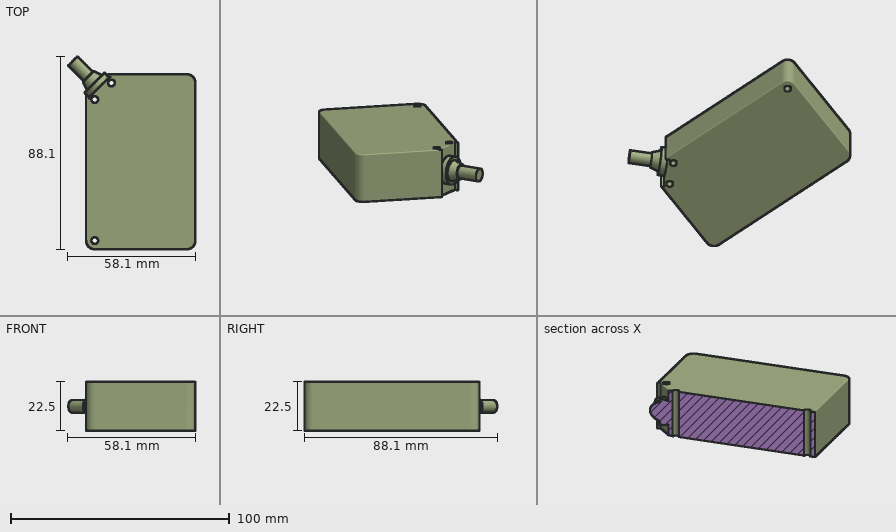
import cadquery as cq

width = 50.0
length = 80.0
height = 22.5
corner_radius = 4.0
edge_radius = 0.5

recess_width = 13.0
floor_inset = 6.0

hole_diameter = 3.0
hole_inset = 4.0
recess_hole_inset = 11.6

flange_diameter = recess_width
flange_length = 3.0
cone_length = 4.0
cone_base_diameter = 9.8
cone_tip_diameter = 7.0
cable_diameter = 6.0
cable_length = 10.0

corner_x = -width / 2
corner_y = length / 2

floor_centre = (corner_x + floor_inset, corner_y - floor_inset, 0)


def housing():
    block = cq.Workplane("XY").box(width, length, height)
    block = block.edges("|Z and (>X or <Y)").fillet(corner_radius)
    block = block.cut(corner_recess())
    recess_tips = block.edges("|Z").edges(">(-1, 1, 0)")
    block = recess_tips.fillet(edge_radius)
    return block.faces("<Z or >Z").edges().fillet(edge_radius)


def corner_recess():
    """Full-height cutter standing on the recess floor and reaching out past the corner."""
    floor = cq.Plane(origin=floor_centre, xDir=(1, 1, 0), normal=(-1, 1, 0))
    return cq.Workplane(floor).rect(recess_width, height).extrude(2 * floor_inset)


def mounting_holes():
    centres = [
        (corner_x + hole_inset, -corner_y + hole_inset),
        (corner_x + hole_inset, corner_y - recess_hole_inset),
        (corner_x + recess_hole_inset, corner_y - hole_inset),
    ]
    points = cq.Workplane("XY").pushPoints(centres)
    return points.circle(hole_diameter / 2).extrude(height / 2, both=True)


def cable_gland():
    """Flange, cone and cable turned as one profile: local X is the radius, local Y the cable axis."""
    cone_end = flange_length + cone_length
    cable_end = cone_end + cable_length
    profile = [
        (0, 0),
        (flange_diameter / 2, 0),
        (flange_diameter / 2, flange_length),
        (cone_base_diameter / 2, flange_length),
        (cone_tip_diameter / 2, cone_end),
        (cable_diameter / 2, cone_end),
        (cable_diameter / 2, cable_end),
        (0, cable_end),
    ]
    section = cq.Plane(origin=floor_centre, xDir=(-1, -1, 0), normal=(0, 0, -1))
    return cq.Workplane(section).polyline(profile).close().revolve(360, (0, 0), (0, 1))


result = housing().cut(mounting_holes()).union(cable_gland())